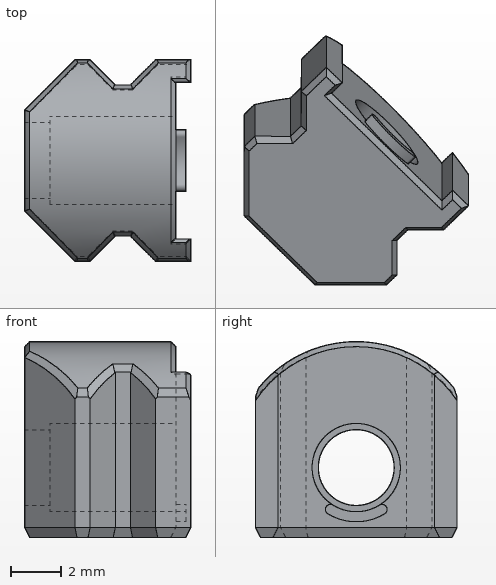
import cadquery as cq
import math

half_width = 4.0
nose_half_width = 2.0
shoulder_x = 2.0
groove_start_x = 2.6
groove_depth = 1.0
groove_floor_length = 0.6
rear_x = 6.6
recess_x = 6.0
recess_half_width = 3.1

height = 7.78
crown_radius = 5.0
axis_z = height - crown_radius

crown_chamfer = 0.2
base_chamfer_inset = 0.2
base_chamfer_height = 0.4

hole_diameter = 3.0
counterbore_diameter = 3.5
front_lip = 1.0

rib_thickness = 0.4
rib_height = 0.4
rib_end_y = 1.02
rib_inner_radius = counterbore_diameter / 2


def make_outline():
    """Points of the closed outline, mirrored from the +Y half."""
    floor_start_x = groove_start_x + groove_depth
    floor_end_x = floor_start_x + groove_floor_length
    groove_end_x = floor_end_x + groove_depth
    floor_y = half_width - groove_depth
    half = [
        (0, nose_half_width),
        (shoulder_x, half_width),
        (groove_start_x, half_width),
        (floor_start_x, floor_y),
        (floor_end_x, floor_y),
        (groove_end_x, half_width),
        (rear_x, half_width),
        (rear_x, recess_half_width),
        (recess_x, recess_half_width),
    ]
    return half + [(x, -y) for x, y in reversed(half)]


def make_body():
    """Prism with a tapered foot and a chamfered cylindrical crown."""
    outline = cq.Workplane("XY").workplane(offset=base_chamfer_height).polyline(make_outline()).close()
    prism = outline.extrude(height - base_chamfer_height)
    crown = cq.Workplane("YZ").center(0, axis_z).circle(crown_radius).extrude(rear_x)
    lower_block = cq.Workplane("XY").box(
        rear_x, 2 * half_width, axis_z, centered=(False, True, False)
    )
    upper = prism.intersect(crown.union(lower_block))
    crown_edges = upper.faces("%CYLINDER").edges()
    upper = crown_edges.chamfer(crown_chamfer)

    foot_bottom = (
        cq.Workplane("XY")
        .polyline(make_outline())
        .close()
        .offset2D(-base_chamfer_inset, "intersection")
    )
    foot_top = cq.Workplane("XY", origin=(0, 0, base_chamfer_height)).polyline(make_outline()).close()
    foot = cq.Solid.makeLoft([foot_bottom.val(), foot_top.val()], True)
    return upper.union(foot)


def make_x_cylinder(diameter, start_x):
    """Cylinder on the bore axis from start_x through the rear."""
    plane = cq.Workplane("YZ", origin=(start_x, 0, axis_z))
    return plane.circle(diameter / 2).extrude(rear_x - start_x)


def make_arc_rib():
    """Arc-shaped rib with rounded ends, centred below the bore axis."""
    inner = rib_inner_radius
    middle = inner + rib_thickness / 2
    outer = inner + rib_thickness
    end_angle = math.asin(rib_end_y / middle)

    def point(radius, angle):
        return (radius * math.sin(angle), -radius * math.cos(angle))

    def end_cap(side):
        """Outermost point of the rounded end on the given side."""
        y, z = point(middle, side * end_angle)
        reach = rib_thickness / 2
        return (y + side * reach * math.cos(end_angle), z + reach * math.sin(end_angle))

    return (
        cq.Workplane("YZ", origin=(recess_x, 0, axis_z))
        .moveTo(*point(inner, -end_angle))
        .threePointArc(point(inner, 0), point(inner, end_angle))
        .threePointArc(end_cap(1), point(outer, end_angle))
        .threePointArc(point(outer, 0), point(outer, -end_angle))
        .threePointArc(end_cap(-1), point(inner, -end_angle))
        .close()
        .extrude(rib_height)
    )


body = make_body()
body = body.cut(make_x_cylinder(hole_diameter, 0))
body = body.cut(make_x_cylinder(counterbore_diameter, front_lip))
result = body.union(make_arc_rib())